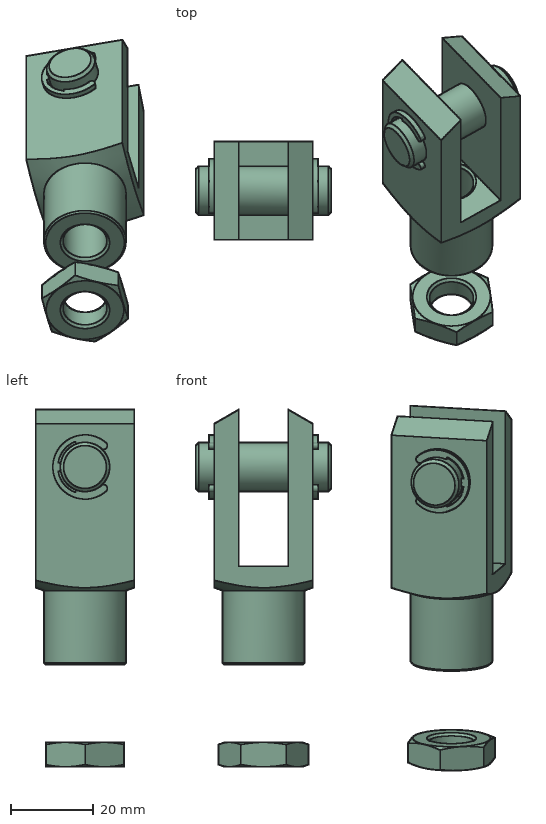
import cadquery as cq
import math

nut_height = 6.0
nut_across_flats = 19.0
nut_across_corners = nut_across_flats / math.cos(math.radians(30))
nut_face_diameter = 18.8
nut_chamfer_angle = 20

bore_diameter = 10.7
bore_mouth_diameter = 12.0

total_height = 86.8
fork_width = 24.0
slot_width = 12.0
slot_floor_z = 48.8
fork_bottom_z = 42.8
arm_bevel_angle = 30
shoulder_angle = 20
stem_diameter = 20.0
stem_bottom_z = 24.8
stem_chamfer = 0.4

pin_diameter = 12.0
pin_length = 33.0
pin_chamfer = 0.8
pin_z = 72.8

clip_thickness = 1.3
clip_outer_radius = 7.8
clip_relief_radius = 6.6
clip_half_opening = 49
relief_start_angle = 111
relief_end_angle = 171


def cone_ended_blank(face_radius, outer_radius, angle, bottom, top, cone_top):
    """Round blank with a conical bottom edge and, if cone_top is set, a matching top edge."""
    rise = (outer_radius - face_radius) * math.tan(math.radians(angle))
    outline = (
        cq.Workplane("XZ")
        .moveTo(0, bottom)
        .lineTo(face_radius, bottom)
        .lineTo(outer_radius, bottom + rise)
    )
    if cone_top:
        outline = outline.lineTo(outer_radius, top - rise).lineTo(face_radius, top)
    else:
        outline = outline.lineTo(outer_radius, top)
    return outline.lineTo(0, top).close().revolve(360, (0, 0, 0), (0, 1, 0))


def thread_bore(bottom, top):
    """Cutter for a bore along Z that widens to the mouth diameter at both ends."""
    radius = bore_diameter / 2
    mouth_radius = bore_mouth_diameter / 2
    flare = mouth_radius - radius
    return (
        cq.Workplane("XZ")
        .moveTo(0, bottom)
        .lineTo(mouth_radius, bottom)
        .lineTo(radius, bottom + flare)
        .lineTo(radius, top - flare)
        .lineTo(mouth_radius, top)
        .lineTo(0, top)
        .close()
        .revolve(360, (0, 0, 0), (0, 1, 0))
    )


def make_nut():
    hexagon = cq.Workplane("XY").polygon(6, nut_across_corners).extrude(nut_height)
    blank = cone_ended_blank(
        nut_face_diameter / 2, nut_across_corners / 2, nut_chamfer_angle, 0, nut_height, True
    )
    return hexagon.intersect(blank).cut(thread_bore(0, nut_height))


def make_fork():
    half_width = fork_width / 2
    half_slot = slot_width / 2
    bevel_drop = (half_width - half_slot) * math.tan(math.radians(arm_bevel_angle))
    arm_side_z = total_height - bevel_drop
    outline = [
        (-half_width, fork_bottom_z),
        (half_width, fork_bottom_z),
        (half_width, arm_side_z),
        (half_slot, total_height),
        (half_slot, slot_floor_z),
        (-half_slot, slot_floor_z),
        (-half_slot, total_height),
        (-half_width, arm_side_z),
    ]
    fork = cq.Workplane("XZ").polyline(outline).close().extrude(half_width, both=True)
    shoulder_blank = cone_ended_blank(
        stem_diameter / 2, fork_width, shoulder_angle, fork_bottom_z, total_height, False
    )
    return fork.intersect(shoulder_blank)


def make_stem():
    return (
        cq.Workplane("XY", origin=(0, 0, stem_bottom_z))
        .circle(stem_diameter / 2)
        .extrude(fork_bottom_z - stem_bottom_z)
        .faces("<Z")
        .chamfer(stem_chamfer)
    )


def make_pin():
    return (
        cq.Workplane("YZ", origin=(-pin_length / 2, 0, pin_z))
        .circle(pin_diameter / 2)
        .extrude(pin_length)
        .faces("<X or >X")
        .chamfer(pin_chamfer)
    )


def polar(radius, angle):
    """Y and Z offset from the pin axis; angle 0 points to -Y and 90 to +Z."""
    radians = math.radians(angle)
    return (-radius * math.cos(radians), radius * math.sin(radians))


def ring_sector(plane, inner_radius, outer_radius, start, end):
    middle = (start + end) / 2
    return (
        plane.moveTo(*polar(inner_radius, start))
        .lineTo(*polar(outer_radius, start))
        .threePointArc(polar(outer_radius, middle), polar(outer_radius, end))
        .lineTo(*polar(inner_radius, end))
        .threePointArc(polar(inner_radius, middle), polar(inner_radius, start))
        .close()
        .extrude(clip_thickness)
    )


def make_clip(start_x):
    plane = cq.Workplane("YZ", origin=(start_x, 0, pin_z))
    pin_radius = pin_diameter / 2
    clip = ring_sector(plane, pin_radius, clip_outer_radius, clip_half_opening, 360 - clip_half_opening)
    tip_radius = (clip_outer_radius - pin_radius) / 2
    for angle in (clip_half_opening, -clip_half_opening):
        tip = plane.center(*polar(pin_radius + tip_radius, angle)).circle(tip_radius).extrude(clip_thickness)
        clip = clip.union(tip)
    for start, end in (
        (relief_start_angle, relief_end_angle),
        (360 - relief_end_angle, 360 - relief_start_angle),
    ):
        clip = clip.cut(ring_sector(plane, pin_radius, clip_relief_radius, start, end))
    return clip


def make_clevis():
    """Fork, stem, pin and both clips as one solid."""
    clevis = make_fork().union(make_stem())
    clevis = clevis.cut(thread_bore(stem_bottom_z, slot_floor_z))
    clevis = clevis.union(make_pin())
    for start_x in (-fork_width / 2 - clip_thickness, fork_width / 2):
        clevis = clevis.union(make_clip(start_x))
    return clevis


nut = make_nut()
clevis = make_clevis()

result = cq.Compound.makeCompound([clevis.solids().val(), nut.solids().val()])